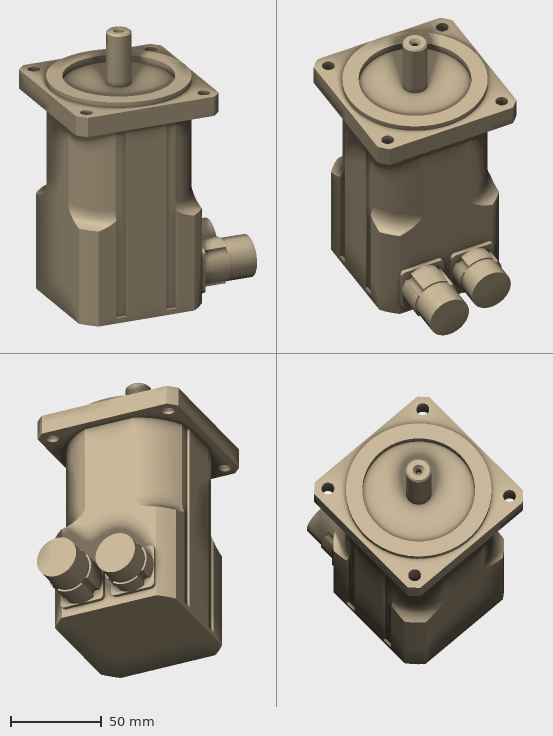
import cadquery as cq
import math

FLANGE_BOTTOM = 115.9
FLANGE_TOP = 127.2
PILOT_TOP = 130.3
RECESS_FLOOR = 126.0
SHAFT_TOP = 157.0

HOUSING_WIDTH = 74.1
CORNER_RADIUS = 47.0
NECK_RADIUS = 39.9
NECK_START = 65.8
NECK_FILLET = 20.0 / 2

GROOVE_INNER_Y = 12.0
GROOVE_OUTER_Y = 18.0
GROOVE_DEPTH = 1.5
GROOVE_BOTTOM = 3.1

FLANGE_WIDTH = 86.0
FLANGE_CORNER_DIAMETER = 115.0
PILOT_DIAMETER = 80.0
RECESS_DIAMETER = 62.0
BOLT_SPACING = 70.6
BOLT_HOLE_DIAMETER = 7.0

SHAFT_DIAMETER = 14.0
SHAFT_CHAMFER = 1.0
CENTRE_DRILL_DIAMETER = 3.3
CENTRE_SINK_DIAMETER = 6.6
CENTRE_SINK_ANGLE = 75
CENTRE_DRILL_DEPTH = 6.3

CONNECTOR_OFFSET_X = 15.5
CONNECTOR_Z = 17.9
BASE_CORNER_RADIUS = 2.5
BASE_THICKNESS = 2.4
COLLAR_DIAMETER = 26.0
BASE_WIDTH = COLLAR_DIAMETER
CAP_DIAMETER = 24.0
NOTCH_RADIUS = 2.2
CONNECTORS = [
    (-CONNECTOR_OFFSET_X, 48.5, 61.0),
    (CONNECTOR_OFFSET_X, 54.5, 71.0),
]


def disc(diameter, bottom, top):
    """Upright cylinder on the motor axis."""
    return cq.Workplane("XY", origin=(0, 0, bottom)).circle(diameter / 2).extrude(top - bottom)


def turned_envelope():
    """Solid of revolution that rounds the housing corners and necks them in below the flange."""
    centre_radius = NECK_RADIUS + NECK_FILLET

    def arc_height(radius):
        return NECK_START - math.sqrt(NECK_FILLET**2 - (centre_radius - radius) ** 2)

    middle_radius = (NECK_RADIUS + CORNER_RADIUS) / 2
    return (
        cq.Workplane("XZ")
        .lineTo(CORNER_RADIUS, 0)
        .lineTo(CORNER_RADIUS, arc_height(CORNER_RADIUS))
        .threePointArc((middle_radius, arc_height(middle_radius)), (NECK_RADIUS, NECK_START))
        .lineTo(NECK_RADIUS, FLANGE_BOTTOM)
        .lineTo(0, FLANGE_BOTTOM)
        .close()
        .revolve(360, (0, 0, 0), (0, 1, 0))
    )


def side_grooves():
    """Two grooves in each X face, running from near the bottom up to the flange."""
    groove_y = (GROOVE_INNER_Y + GROOVE_OUTER_Y) / 2
    return (
        cq.Workplane("XY", origin=(0, 0, GROOVE_BOTTOM))
        .rect(HOUSING_WIDTH, 2 * groove_y, forConstruction=True)
        .vertices()
        .rect(2 * GROOVE_DEPTH, GROOVE_OUTER_Y - GROOVE_INNER_Y)
        .extrude(FLANGE_BOTTOM - GROOVE_BOTTOM)
    )


def make_housing():
    block = cq.Workplane("XY").rect(HOUSING_WIDTH, HOUSING_WIDTH).extrude(FLANGE_BOTTOM)
    return block.intersect(turned_envelope()).cut(side_grooves())


def make_flange():
    plate = (
        cq.Workplane("XY", origin=(0, 0, FLANGE_BOTTOM))
        .rect(FLANGE_WIDTH, FLANGE_WIDTH)
        .extrude(FLANGE_TOP - FLANGE_BOTTOM)
        .intersect(disc(FLANGE_CORNER_DIAMETER, FLANGE_BOTTOM, FLANGE_TOP))
    )
    bolt_holes = (
        cq.Workplane("XY", origin=(0, 0, FLANGE_BOTTOM))
        .rect(BOLT_SPACING, BOLT_SPACING, forConstruction=True)
        .vertices()
        .circle(BOLT_HOLE_DIAMETER / 2)
        .extrude(FLANGE_TOP - FLANGE_BOTTOM)
    )
    pilot = disc(PILOT_DIAMETER, FLANGE_TOP, PILOT_TOP)
    recess = disc(RECESS_DIAMETER, RECESS_FLOOR, PILOT_TOP)
    return plate.cut(bolt_holes).union(pilot).cut(recess)


def make_shaft():
    return (
        disc(SHAFT_DIAMETER, RECESS_FLOOR, SHAFT_TOP)
        .faces(">Z")
        .chamfer(SHAFT_CHAMFER)
        .faces(">Z")
        .workplane()
        .cskHole(CENTRE_DRILL_DIAMETER, CENTRE_SINK_DIAMETER, CENTRE_SINK_ANGLE, CENTRE_DRILL_DEPTH)
    )


def make_motor():
    """Housing, flange and shaft as one solid."""
    return make_housing().union(make_flange()).union(make_shaft())


def make_connector(x, collar_end, cap_end):
    """Square base, notched collar and round cap, stacked along +Y from the housing face."""
    face_y = HOUSING_WIDTH / 2
    base_end = face_y + BASE_THICKNESS

    def section(start):
        return cq.Workplane(cq.Plane((x, start, CONNECTOR_Z), (-1, 0, 0), (0, 1, 0)))

    base = (
        section(face_y)
        .rect(BASE_WIDTH, BASE_WIDTH)
        .extrude(BASE_THICKNESS)
        .edges("|Y")
        .fillet(BASE_CORNER_RADIUS)
    )
    collar = section(base_end).circle(COLLAR_DIAMETER / 2).extrude(collar_end - base_end)
    notches = (
        section(base_end)
        .polarArray(COLLAR_DIAMETER / 2, 45, 360, 4)
        .circle(NOTCH_RADIUS)
        .extrude(collar_end - base_end)
    )
    cap = section(collar_end).circle(CAP_DIAMETER / 2).extrude(cap_end - collar_end)
    return base.union(collar.cut(notches)).union(cap)


motor = make_motor()
connectors = [make_connector(*sizes) for sizes in CONNECTORS]

result = cq.Compound.makeCompound([motor.val(), *[connector.val() for connector in connectors]])